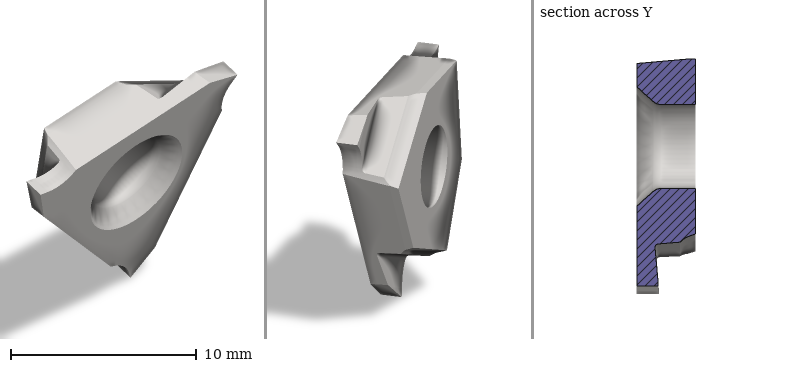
import cadquery as cq
import math

ARM_COUNT = 3
ARM_SPACING = 360 / ARM_COUNT
OVERSHOOT = 3.0

THICKNESS = 3.175
INSCRIBED_RADIUS = 4.72
LAND_DEPTH = 0.5
FLANK_RELIEF = 5.0
CORNER_RADIUS = 2 * INSCRIBED_RADIUS
FIRST_CORNER = 30.0

HOLE_RADIUS = 2.25
SEAT_RADIUS = 3.22
SEAT_HALF_ANGLE = 42.0
SEAT_ROUND = 0.65

TIP_Y = -6.693
TIP_Z = 4.326
RAKE_ANGLE = 18.0
RAKE_LENGTH = 0.57
CHIP_RADIUS = 2.1
CLEARANCE_ANGLE = 6.2
CLEARANCE_REACH = 4.0
CUTTING_WIDTH = 1.2

STEP_SKEW = 8.2
BEVEL_START = 4.455
BEVEL_END = (4.595, 0.41)
HOLLOW_END = (4.87, 0.83)
WALL_DRAFT = 4.5
FLOOR_TILT = 3.3
FLOOR_SLOPE = 4.2
FLOOR_LAND_START = 6.755
FLOOR_ROUND = 0.17


def tangent(degrees):
    return math.tan(math.radians(degrees))


def polar(radius, degrees):
    angle = math.radians(degrees)
    return radius * math.cos(angle), radius * math.sin(angle)


def make_body():
    corners = [polar(CORNER_RADIUS, FIRST_CORNER + i * ARM_SPACING) for i in range(ARM_COUNT)]
    straight = cq.Workplane("YZ").polyline(corners).close().extrude(LAND_DEPTH)
    relieved = (
        cq.Workplane("YZ", origin=(LAND_DEPTH, 0, 0))
        .polyline(corners)
        .close()
        .extrude(THICKNESS - LAND_DEPTH, taper=FLANK_RELIEF)
    )
    return straight.union(relieved)


def make_hole():
    sharp_depth = THICKNESS - (SEAT_RADIUS - HOLE_RADIUS) / tangent(SEAT_HALF_ANGLE)
    round_setback = SEAT_ROUND * tangent(SEAT_HALF_ANGLE / 2)
    round_x, round_y = polar(round_setback, SEAT_HALF_ANGLE)
    return (
        cq.Workplane("XY")
        .lineTo(0, HOLE_RADIUS)
        .lineTo(sharp_depth - round_setback, HOLE_RADIUS)
        .tangentArcPoint((sharp_depth + round_x, HOLE_RADIUS + round_y), relative=False)
        .lineTo(THICKNESS, SEAT_RADIUS)
        .lineTo(THICKNESS, 0)
        .close()
        .revolve(360, (0, 0, 0), (1, 0, 0))
    )


def make_tip_cutter():
    """Everything outside the hollow rake and the clearance face of one arm."""
    rake_y, rake_drop = polar(RAKE_LENGTH, RAKE_ANGLE)
    rake_end = (TIP_Y + rake_y, TIP_Z - rake_drop)
    to_centre_y, to_centre_z = polar(CHIP_RADIUS, 90 - RAKE_ANGLE)
    centre_y = rake_end[0] + to_centre_y
    centre_z = rake_end[1] + to_centre_z
    hollow_bottom = (centre_y, centre_z - CHIP_RADIUS)
    hollow_exit = (centre_y + CHIP_RADIUS, centre_z)
    clearance_end = (TIP_Y + CLEARANCE_REACH * tangent(CLEARANCE_ANGLE), TIP_Z - CLEARANCE_REACH)
    outside_y = -CORNER_RADIUS - OVERSHOOT
    return (
        cq.Workplane("YZ")
        .moveTo(*hollow_exit)
        .threePointArc(hollow_bottom, rake_end)
        .lineTo(TIP_Y, TIP_Z)
        .lineTo(*clearance_end)
        .lineTo(outside_y, clearance_end[1])
        .lineTo(outside_y, centre_z)
        .close()
        .extrude(THICKNESS)
    )


def make_step_cutter():
    """Material removed from the -X side of one arm, leaving the narrow cutting blade."""
    section = cq.Plane(origin=(0, 0, -CORNER_RADIUS), xDir=(0, -1, 0), normal=(0, 0, 1))
    outside = CORNER_RADIUS + OVERSHOOT
    length = 2 * CORNER_RADIUS
    wall_foot = HOLLOW_END[0] + (THICKNESS - HOLLOW_END[1]) * tangent(WALL_DRAFT)
    sides = (
        cq.Workplane(section)
        .moveTo(BEVEL_START, 0)
        .lineTo(*BEVEL_END)
        .tangentArcPoint(HOLLOW_END, relative=False)
        .lineTo(wall_foot, THICKNESS)
        .lineTo(outside, THICKNESS)
        .lineTo(outside, 0)
        .close()
        .extrude(length)
    )

    blade_depth = THICKNESS - CUTTING_WIDTH
    inner_depth = blade_depth + FLOOR_LAND_START * tangent(FLOOR_SLOPE)
    above = (
        cq.Workplane(section)
        .moveTo(0, -OVERSHOOT)
        .lineTo(0, inner_depth)
        .lineTo(FLOOR_LAND_START, blade_depth)
        .lineTo(outside, blade_depth)
        .lineTo(outside, -OVERSHOOT)
        .close()
        .extrude(length)
    )
    skew = math.radians(STEP_SKEW)
    tip_height = TIP_Z * math.cos(skew) + TIP_Y * math.sin(skew)
    pivot = (blade_depth, 0, tip_height)
    above = above.rotate(pivot, (blade_depth, 1, tip_height), -FLOOR_TILT)

    cutter = sides.intersect(above)
    near_wall_foot = (blade_depth, -wall_foot, 0)
    cutter = cutter.edges(cq.selectors.NearestToPointSelector(near_wall_foot)).fillet(FLOOR_ROUND)
    return cutter.rotate((0, 0, 0), (1, 0, 0), -STEP_SKEW)


def make_insert():
    insert = make_body().cut(make_hole())
    arm_cutters = [make_tip_cutter(), make_step_cutter()]
    for i in range(ARM_COUNT):
        for cutter in arm_cutters:
            insert = insert.cut(cutter.rotate((0, 0, 0), (1, 0, 0), i * ARM_SPACING))
    return insert


result = make_insert()